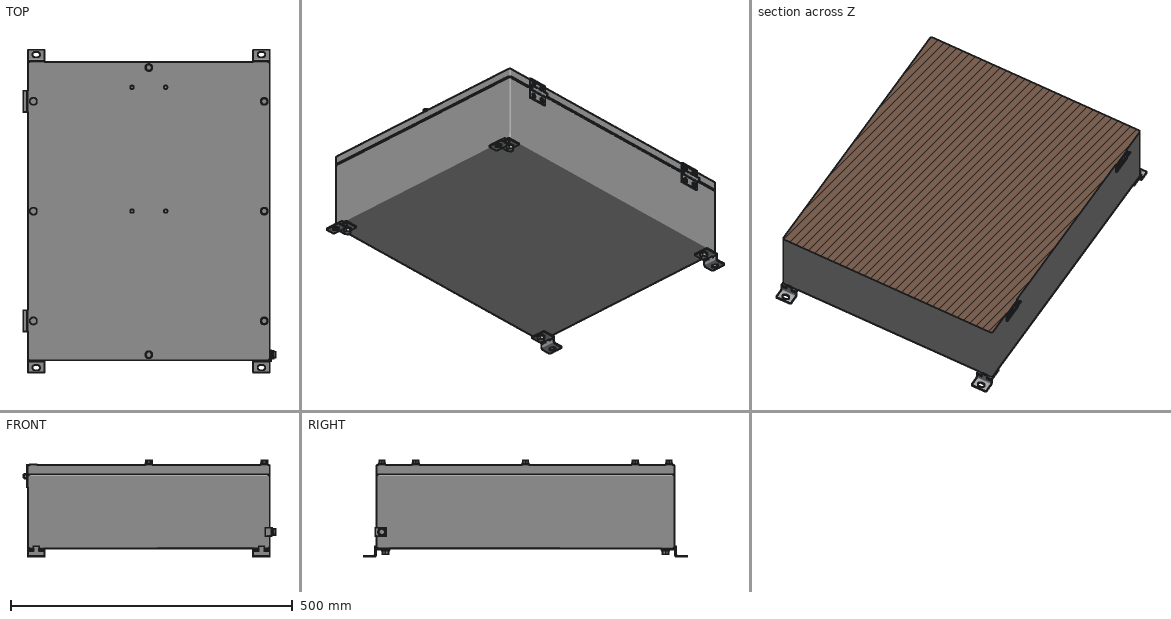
import cadquery as cq

box_length_x = 430.0
box_width_y = 530.0
box_bottom_z = 15.0
lid_top_z = 163.5
lid_height = 17.0
overall_height = 171.7
left_reach_x = 223.4
overall_length_x = 449.19
overall_width_y = 574.0
half_x = box_length_x / 2
half_y = box_width_y / 2
lid_bottom_z = lid_top_z - lid_height
side_bend_radius = 4.0
lid_bend_radius = 2.5

fastener_inset = 10.0
side_fastener_y = 195.0
washer_diameter = 12.7
washer_thickness = 1.6
screw_collar_diameter = 12.0
screw_collar_thickness = 1.6
screw_flats = 10.0
plug_thickness = 1.5
hexagon_sides = 6
hex_corner_ratio = 2 / 3 ** 0.5

lid_hole_diameter = 6.5
lid_hole_depth = 2.0
lid_hole_x = 30.0
lid_hole_ys = (0.0, 220.0)

hinge_width = 38.0
hinge_height = 40.0
hinge_leaf_thickness = 2.0
hinge_barrel_diameter = 8.7
hinge_pin_hole_diameter = 5.46
hinge_centre_z = lid_top_z - hinge_height / 2
hinge_screw_offset_y = 10.5
hinge_screw_offset_z = 13.3
countersink_diameter = 9.0
countersink_bottom_diameter = 5.0
countersink_depth = 1.5

foot_width = 30.0
foot_thickness = 2.5
foot_shoulder_z = 10.5
foot_neck_width = 10.0
foot_neck_top_z = 19.0
foot_tab_inner_y = 241.0
foot_corner_radius = 2.0
foot_bend_inner_radius = 2.0
foot_bend_outer_radius = foot_bend_inner_radius + foot_thickness
foot_centre_x = half_x - foot_width / 2
foot_upright_outer_y = half_y + foot_thickness
slot_length = 13.0
slot_width = 9.0
slot_edge_distance = 9.0
foot_bolt_y = 248.7
foot_bolt_flats = 11.0
foot_bolt_bottom_z = 4.5
foot_washer_diameter = 14.0
foot_washer_thickness = 1.5

terminal_z = 44.5
terminal_plate_height = 15.0
terminal_plate_thickness = 2.0
terminal_front_leg = 8.5
terminal_side_leg = 20.0
stud_y = -255.0
terminal_washer_diameter = 14.0
terminal_washer_end_x = 219.0
nut_flats = 12.0
nut_end_x = 221.5
stud_diameter = 11.0
stud_end_x = overall_length_x - left_reach_x


def block(x_range, y_range, z_range):
    """Axis-aligned block between the given limits."""
    (x0, x1), (y0, y1), (z0, z1) = x_range, y_range, z_range
    return cq.Workplane("XY").box(x1 - x0, y1 - y0, z1 - z0, centered=False).translate((x0, y0, z0))


def upright_cylinder(x, y, z0, z1, diameter):
    return cq.Workplane("XY", origin=(x, y, z0)).circle(diameter / 2).extrude(z1 - z0)


def upright_hexagon(x, y, z0, z1, flats):
    plane = cq.Workplane("XY", origin=(x, y, z0))
    return plane.polygon(hexagon_sides, flats * hex_corner_ratio).extrude(z1 - z0)


def make_box():
    """Body and lid, with a rounded groove where the body turns in under the lid."""
    outline_x = (-half_x, half_x)
    outline_y = (-half_y, half_y)
    body = block(outline_x, outline_y, (box_bottom_z, lid_bottom_z)).edges().fillet(side_bend_radius)
    lid = block(outline_x, outline_y, (lid_bottom_z, lid_top_z)).edges("|Z").fillet(side_bend_radius)
    lid = lid.faces(">Z").edges().fillet(lid_bend_radius)
    return body.union(lid)


def make_lid_screw(x, y):
    washer_top = lid_top_z + washer_thickness
    washer = upright_cylinder(x, y, lid_top_z, washer_top, washer_diameter)
    collar_top = washer_top + screw_collar_thickness
    collar = upright_cylinder(x, y, washer_top, collar_top, screw_collar_diameter)
    head = upright_hexagon(x, y, collar_top, overall_height, screw_flats)
    return washer.union(collar).union(head)


def make_lid_plug(x, y):
    return upright_cylinder(x, y, lid_top_z, lid_top_z + plug_thickness, washer_diameter)


def make_hinge(y):
    """Flat leaf with a hollow barrel and four countersinks."""
    leaf = block(
        (-half_x - hinge_leaf_thickness, -half_x),
        (y - hinge_width / 2, y + hinge_width / 2),
        (hinge_centre_z - hinge_height / 2, hinge_centre_z + hinge_height / 2),
    )
    for side_y in (-hinge_screw_offset_y, hinge_screw_offset_y):
        for side_z in (-hinge_screw_offset_z, hinge_screw_offset_z):
            centre = (-half_x - hinge_leaf_thickness, y + side_y, hinge_centre_z + side_z)
            cone = cq.Solid.makeCone(
                countersink_diameter / 2,
                countersink_bottom_diameter / 2,
                countersink_depth,
                cq.Vector(*centre),
                cq.Vector(1, 0, 0),
            )
            leaf = leaf.cut(cq.Workplane(obj=cone))
    barrel_x = hinge_barrel_diameter / 2 - left_reach_x
    barrel_plane = cq.Workplane("XZ", origin=(barrel_x, y + hinge_width / 2, hinge_centre_z))
    barrel = barrel_plane.circle(hinge_barrel_diameter / 2).extrude(hinge_width)
    pin_hole = barrel_plane.circle(hinge_pin_hole_diameter / 2).extrude(hinge_width)
    return leaf.union(barrel).cut(pin_hole)


def make_foot(x):
    """Foot on the +Y side: slotted and bent plate with a neck, tab and bolt under the box."""
    full_x = (x - foot_width / 2, x + foot_width / 2)
    neck_x = (x - foot_neck_width / 2, x + foot_neck_width / 2)
    plate_end_y = overall_width_y / 2
    angle_profile = [
        (half_y, 0),
        (plate_end_y, 0),
        (plate_end_y, foot_thickness),
        (foot_upright_outer_y, foot_thickness),
        (foot_upright_outer_y, foot_shoulder_z),
        (half_y, foot_shoulder_z),
    ]
    angle_plane = cq.Workplane("YZ", origin=(x - foot_width / 2, 0, 0))
    angle = angle_plane.polyline(angle_profile).close().extrude(foot_width)
    angle = angle.faces(">Y").edges("|Z").fillet(foot_corner_radius)
    outer_bend = cq.selectors.NearestToPointSelector((x, half_y, 0))
    angle = angle.edges(outer_bend).fillet(foot_bend_outer_radius)
    inner_bend = cq.selectors.NearestToPointSelector((x, foot_upright_outer_y, foot_thickness))
    angle = angle.edges(inner_bend).fillet(foot_bend_inner_radius)
    slot_plane = cq.Workplane("XY", origin=(x, plate_end_y - slot_edge_distance, 0))
    angle = angle.cut(slot_plane.slot2D(slot_length, slot_width).extrude(foot_thickness))
    neck = block(neck_x, (half_y, foot_upright_outer_y), (foot_shoulder_z, foot_neck_top_z))
    tab_bottom_z = box_bottom_z - foot_thickness
    tab = block(full_x, (foot_tab_inner_y, foot_upright_outer_y), (tab_bottom_z, box_bottom_z))
    washer_bottom_z = tab_bottom_z - foot_washer_thickness
    washer = upright_cylinder(x, foot_bolt_y, washer_bottom_z, tab_bottom_z, foot_washer_diameter)
    bolt = upright_hexagon(x, foot_bolt_y, foot_bolt_bottom_z, washer_bottom_z, foot_bolt_flats)
    return angle.union(neck).union(tab).union(washer).union(bolt)


def make_terminal():
    """Angle plate round the box corner with a washer, a nut and a stud pointing to +X."""
    outer_x = half_x + terminal_plate_thickness
    outer_y = -half_y - terminal_plate_thickness
    plate_z = (terminal_z - terminal_plate_height / 2, terminal_z + terminal_plate_height / 2)
    front_leg = block((half_x - terminal_front_leg, outer_x), (outer_y, -half_y), plate_z)
    side_leg = block((half_x, outer_x), (outer_y, outer_y + terminal_side_leg), plate_z)

    def stud_plane(x):
        return cq.Workplane("YZ", origin=(x, stud_y, terminal_z))

    washer_length = terminal_washer_end_x - half_x
    washer = stud_plane(half_x).circle(terminal_washer_diameter / 2).extrude(washer_length)
    nut_plane = stud_plane(terminal_washer_end_x)
    nut_length = nut_end_x - terminal_washer_end_x
    nut = nut_plane.polygon(hexagon_sides, nut_flats * hex_corner_ratio).extrude(nut_length)
    stud = stud_plane(nut_end_x).circle(stud_diameter / 2).extrude(stud_end_x - nut_end_x)
    return front_leg.union(side_leg).union(washer).union(nut).union(stud)


result = make_box()

fastener_x = half_x - fastener_inset
for screw_y in (-side_fastener_y, 0, side_fastener_y):
    result = result.union(make_lid_screw(fastener_x, screw_y))
    result = result.union(make_lid_plug(-fastener_x, screw_y))
for screw_y in (-half_y + fastener_inset, half_y - fastener_inset):
    result = result.union(make_lid_screw(0, screw_y))

for hole_y in lid_hole_ys:
    for hole_x in (-lid_hole_x, lid_hole_x):
        hole = upright_cylinder(hole_x, hole_y, lid_top_z - lid_hole_depth, lid_top_z, lid_hole_diameter)
        result = result.cut(hole)

for hinge_y in (-side_fastener_y, side_fastener_y):
    result = result.union(make_hinge(hinge_y))

for foot_x in (-foot_centre_x, foot_centre_x):
    foot = make_foot(foot_x)
    result = result.union(foot).union(foot.mirror("XZ"))

result = result.union(make_terminal())